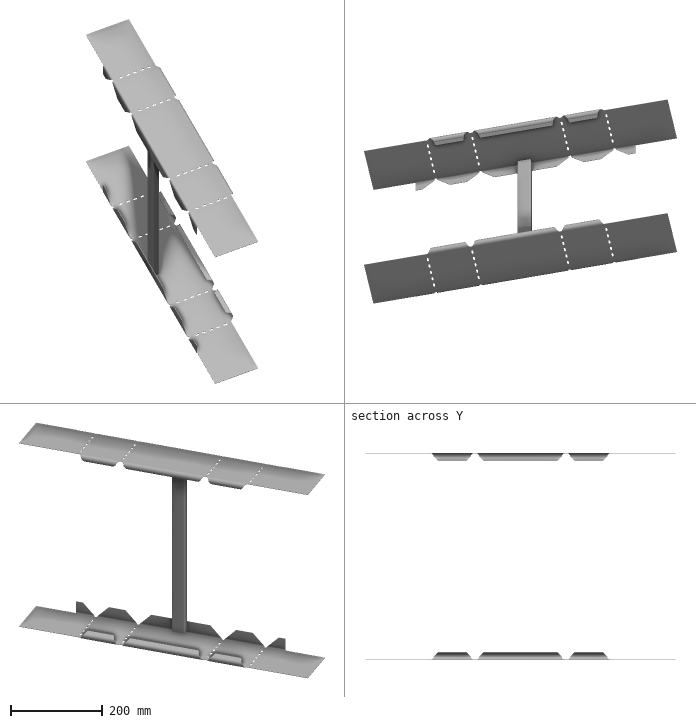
import cadquery as cq
import math

LENGTH = 680.0
DEPTH = 114.0
HEIGHT = 454.0
FRONT_Y = -DEPTH / 2
BACK_Y = DEPTH / 2
TOP_Z = HEIGHT / 2

SHEET = 1.0
BEND_RADIUS = 4.0
NOTCH_PITCH = 100.0
NOTCH_PLACES = [side * NOTCH_PITCH for side in (-2, -1, 1, 2)]

FLANGE_LENGTH = 492.0
FLANGE_HEIGHT = 29.0
NOTCH_HALF_GAP = 3.0
NOTCH_HALF_MOUTH = 30.5
EDGE_SETBACK = 2.0

HOOK_RADIUS = 8.0
CURL_RADIUS = 7.0
HOOK_TAPER = 7.5
LIP_LENGTH = 7.0
LIP_DROP = 3.0

SLOT_WIDTH = 4.0
SLOT_LENGTH = 9.0
SLOT_PITCH = 17.0
SLOTS_PER_ROW = 5

STUD_WIDTH = 30.5
STUD_DEPTH = 15.5
STUD_CORNER_RADIUS = 3.05
STUD_END_GAP = 5.5

ARC_MID = math.sqrt(0.5)
web_under_z = TOP_Z - SHEET
bend_y = FRONT_Y + BEND_RADIUS
bend_z = TOP_Z - BEND_RADIUS
flange_edge_z = TOP_Z - FLANGE_HEIGHT
hook_y = BACK_Y - HOOK_RADIUS
hook_z = TOP_Z - HOOK_RADIUS


def box_between(x_range, y_range, z_range):
    """Box spanning the given ranges."""
    sizes = [high - low for low, high in (x_range, y_range, z_range)]
    return cq.Workplane("XY").box(*sizes, centered=False).translate((x_range[0], y_range[0], z_range[0]))


def make_web():
    """Flat strip, with plain front edges beyond the ends of the flange."""
    web_z = (web_under_z, TOP_Z)
    web = box_between((-LENGTH / 2, LENGTH / 2), (bend_y, hook_y), web_z)
    for start, end in ((-LENGTH / 2, -FLANGE_LENGTH / 2), (FLANGE_LENGTH / 2, LENGTH / 2)):
        web = web.union(box_between((start, end), (FRONT_Y + EDGE_SETBACK, bend_y), web_z))
    return web


def make_flange():
    """Front bend and flange along their whole length, before notching."""
    inner_radius = BEND_RADIUS - SHEET
    outer_mid = (bend_y - BEND_RADIUS * ARC_MID, bend_z + BEND_RADIUS * ARC_MID)
    inner_mid = (bend_y - inner_radius * ARC_MID, bend_z + inner_radius * ARC_MID)
    return (
        cq.Workplane("YZ", origin=(-FLANGE_LENGTH / 2, 0, 0))
        .moveTo(bend_y, TOP_Z)
        .threePointArc(outer_mid, (FRONT_Y, bend_z))
        .lineTo(FRONT_Y, flange_edge_z)
        .lineTo(FRONT_Y + SHEET, flange_edge_z)
        .lineTo(FRONT_Y + SHEET, bend_z)
        .threePointArc(inner_mid, (bend_y, web_under_z))
        .close()
        .extrude(FLANGE_LENGTH)
    )


def make_notch(x):
    """Cutter for one notch: a narrow gap at the bend that flares to the free edge."""
    outline = [
        (x - NOTCH_HALF_GAP, TOP_Z),
        (x - NOTCH_HALF_GAP, TOP_Z - SHEET),
        (x - NOTCH_HALF_MOUTH, flange_edge_z),
        (x + NOTCH_HALF_MOUTH, flange_edge_z),
        (x + NOTCH_HALF_GAP, TOP_Z - SHEET),
        (x + NOTCH_HALF_GAP, TOP_Z),
    ]
    return cq.Workplane("XZ", origin=(0, bend_y, 0)).polyline(outline).close().extrude(BEND_RADIUS)


def make_hook(start, end):
    """Rear curl with a straight lip; both ends narrow towards the lip."""
    first_inner = HOOK_RADIUS - SHEET
    second_inner = CURL_RADIUS - SHEET
    curl_y = BACK_Y - CURL_RADIUS
    curl_end_z = hook_z - CURL_RADIUS
    lip_y = curl_y - LIP_LENGTH
    lip_z = curl_end_z - LIP_DROP
    first_outer_mid = (hook_y + HOOK_RADIUS * ARC_MID, hook_z + HOOK_RADIUS * ARC_MID)
    second_outer_mid = (curl_y + CURL_RADIUS * ARC_MID, hook_z - CURL_RADIUS * ARC_MID)
    second_inner_mid = (curl_y + second_inner * ARC_MID, hook_z - second_inner * ARC_MID)
    first_inner_mid = (hook_y + first_inner * ARC_MID, hook_z + first_inner * ARC_MID)
    curl = (
        cq.Workplane("YZ", origin=(start, 0, 0))
        .moveTo(hook_y, TOP_Z)
        .threePointArc(first_outer_mid, (BACK_Y, hook_z))
        .threePointArc(second_outer_mid, (curl_y, curl_end_z))
        .lineTo(lip_y, lip_z)
        .lineTo(lip_y, lip_z + SHEET)
        .lineTo(curl_y, curl_end_z + SHEET)
        .threePointArc(second_inner_mid, (BACK_Y - SHEET, hook_z))
        .threePointArc(first_inner_mid, (hook_y, web_under_z))
        .close()
        .extrude(end - start)
    )
    mid_start = start + HOOK_TAPER
    mid_end = end - HOOK_TAPER
    lip_taper = hook_z - lip_z
    first_outline = [(start, hook_y), (mid_start, BACK_Y), (mid_end, BACK_Y), (end, hook_y)]
    second_outline = [
        (mid_start, hook_z),
        (mid_start + lip_taper, lip_z),
        (mid_end - lip_taper, lip_z),
        (mid_end, hook_z),
    ]
    first_plane = cq.Workplane("XY", origin=(0, 0, hook_z))
    first_half = first_plane.polyline(first_outline).close().extrude(HOOK_RADIUS)
    second_plane = cq.Workplane("XZ", origin=(0, BACK_Y, 0))
    second_half = second_plane.polyline(second_outline).close().extrude(BACK_Y - lip_y)
    return curl.intersect(first_half.union(second_half))


def make_slots():
    """Cutters for the rows of slots across the web, one row in line with each notch."""
    middle = (SLOTS_PER_ROW - 1) / 2
    places = [(x, (i - middle) * SLOT_PITCH) for x in NOTCH_PLACES for i in range(SLOTS_PER_ROW)]
    return (
        cq.Workplane("XY", origin=(0, 0, web_under_z))
        .pushPoints(places)
        .slot2D(SLOT_LENGTH, SLOT_WIDTH, 90)
        .extrude(SHEET)
    )


def make_upper_rail():
    """Web with notched front flange, rear hooks between the notches and slot rows."""
    rail = make_web().union(make_flange())
    for x in NOTCH_PLACES:
        rail = rail.cut(make_notch(x))
    for left, right in zip(NOTCH_PLACES, NOTCH_PLACES[1:]):
        rail = rail.union(make_hook(left + NOTCH_HALF_GAP, right - NOTCH_HALF_GAP))
    return rail.cut(make_slots())


def make_stud():
    """Upright bar that rests against the inner faces of both flanges."""
    stud_height = HEIGHT - 2 * (SHEET + STUD_END_GAP)
    return (
        cq.Workplane("XY")
        .box(STUD_WIDTH, STUD_DEPTH, stud_height)
        .edges("|Z")
        .fillet(STUD_CORNER_RADIUS)
        .translate((0, FRONT_Y + SHEET + STUD_DEPTH / 2, 0))
    )


upper_rail = make_upper_rail()
lower_rail = upper_rail.mirror("XY")
stud = make_stud()

result = cq.Compound.makeCompound([upper_rail.val(), lower_rail.val(), stud.val()])